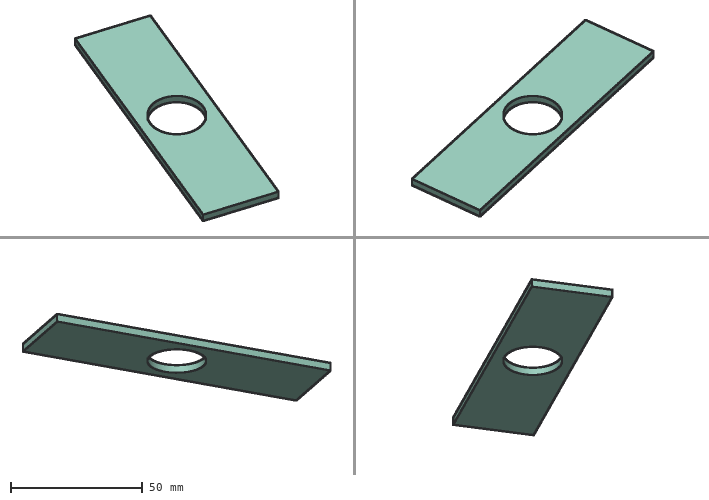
import cadquery as cq

plate_length = 114.3
plate_width = 31.8
plate_thickness = 3.2
hole_diameter = 22.4

plate = cq.Workplane("XY").box(plate_length, plate_width, plate_thickness)

result = plate.faces(">Z").workplane().hole(hole_diameter)